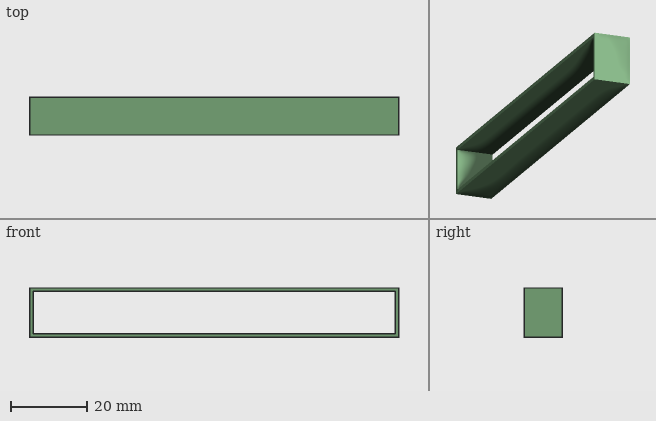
import cadquery as cq

length = 97.0
depth = 10.0
height = 13.0
wall = 1.0

outer_block = cq.Workplane("XY").box(length, depth, height)
opening = cq.Workplane("XY").box(length - 2 * wall, depth, height - 2 * wall)

result = outer_block.cut(opening)